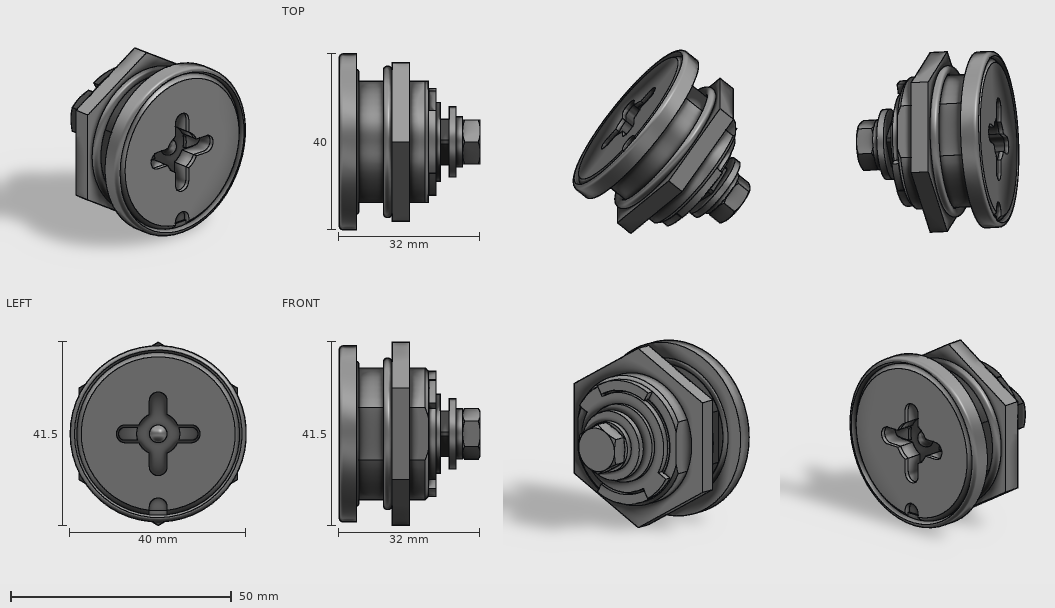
import cadquery as cq
import math


nut_corner_diameter = 41.55
nut_start = 12.0
nut_thickness = 4.0

flange_radius = 20.0
flange_thickness = 4.0
flange_fillet = 1.0
rim_inner_radius = flange_radius - flange_fillet
barrel_radius = 15.0
barrel_end = 20.25
barrel_chamfer = 0.75
flat_half_distance = 13.75
stop_outer_radius = barrel_radius - barrel_chamfer
bore_radius = 12.0
stop_half_angle = 30.0
stop_end = 22.0

flange_ring_section = 0.75
flange_ring_radius = barrel_radius + flange_ring_section
flange_ring_x = 3.75
panel_ring_section = 1.0
panel_ring_radius = 16.2
panel_ring_x = nut_start - panel_ring_section

front_wall = 1.0
groove_radius = 18.45
groove_bevel = 1.0

key_floor = 4.85
key_circle_radius = 4.82
key_arm_reach = 9.48
key_arm_half_width = 2.05
lug_circle_radius = 4.9
lug_half_width = 1.45
lug_reach = 9.0
lug_height = 0.87
pin_radius = 2.0

mark_half_width = 2.05
mark_top = -14.55
mark_pocket_end = -17.4
mark_pocket_depth = 1.4

cam_start = 20.4
cam_radius = 11.5
lobe_radius = 14.0
lobe_half_angle = 15.0
lobe_middle_angle = 90.0 + stop_half_angle + lobe_half_angle
collar_radius = 8.98
collar_end = 23.0
square_width = 8.0
square_corner_radius = 5.2
square_end = 25.0

washer_radius = 8.0
washer_end = 26.52
spring_radius = 5.75
spring_end = 28.0
head_across_flats = 10.0
head_end = 32.0
head_chamfer_angle = 30.0
bolt_radius = 3.0
bolt_tip = 16.0


def cylinder(radius, start, end):
    """Cylinder along the lock axis from x = start to x = end."""
    return cq.Workplane("YZ", origin=(start, 0, 0)).circle(radius).extrude(end - start)


def ring(outer_radius, inner_radius, start, end):
    return cylinder(outer_radius, start, end).cut(cylinder(inner_radius, start, end))


def hexagon(across_flats, start, end):
    """Hexagonal prism along the lock axis with two corners on the Z axis."""
    corner_diameter = across_flats / math.cos(math.pi / 6)
    plane = cq.Workplane("YZ", origin=(start, 0, 0))
    return plane.transformed(rotate=(0, 0, 90)).polygon(6, corner_diameter).extrude(end - start)


def torus(ring_radius, section_radius, x):
    profile = cq.Workplane("XY").center(x, ring_radius).circle(section_radius)
    return profile.revolve(360, (-x, -ring_radius), (0.4 - x, -ring_radius))


def turned(points):
    """Solid of revolution about the lock axis from (x, radius) points."""
    return cq.Workplane("XY").polyline(points).close().revolve(360, (0, 0, 0), (1, 0, 0))


def sector(inner_radius, outer_radius, start_angle, end_angle, start, end):
    """Piece of a ring between two angles, measured from +Y towards +Z."""
    middle_angle = (start_angle + end_angle) / 2

    def at(radius, angle):
        turn = math.radians(angle)
        return (radius * math.cos(turn), radius * math.sin(turn))

    outline = (
        cq.Workplane("YZ", origin=(start, 0, 0))
        .moveTo(*at(inner_radius, start_angle))
        .lineTo(*at(outer_radius, start_angle))
        .threePointArc(at(outer_radius, middle_angle), at(outer_radius, end_angle))
        .lineTo(*at(inner_radius, end_angle))
        .threePointArc(at(inner_radius, middle_angle), at(inner_radius, start_angle))
        .close()
    )
    return outline.extrude(end - start)


def make_housing():
    flange = cylinder(flange_radius, 0, flange_thickness)
    edge_square = ring(flange_radius, rim_inner_radius, 0, flange_fillet)
    edge_round = torus(rim_inner_radius, flange_fillet, flange_fillet)
    flange = flange.cut(edge_square.cut(edge_round))

    barrel = cylinder(barrel_radius, flange_thickness, barrel_end)
    barrel = barrel.faces(">X").chamfer(barrel_chamfer)
    flats = cq.Workplane("XY").box(
        2 * barrel_end, 2 * flat_half_distance, 2 * barrel_radius
    )
    housing = flange.union(barrel.intersect(flats))
    for middle_angle in (90, 270):
        housing = housing.union(
            sector(
                bore_radius,
                stop_outer_radius,
                middle_angle - stop_half_angle,
                middle_angle + stop_half_angle,
                barrel_end,
                stop_end,
            )
        )

    bore = cylinder(bore_radius, front_wall, barrel_end)
    ring_seat = torus(flange_ring_radius, flange_ring_section, flange_ring_x)
    housing = housing.cut(bore).cut(ring_seat).cut(rim_groove())
    return housing.cut(key_hole(0, front_wall)).cut(position_mark())


def rim_groove():
    """V-shaped ring groove between the rim and the front wall."""
    return turned(
        [(0, groove_radius - groove_bevel), (0, rim_inner_radius), (front_wall, groove_radius)]
    )


def key_hole(start, end):
    """Round hole with four round-ended arms."""
    hole = cylinder(key_circle_radius, start, end)
    for angle in (0, 90):
        arms = cq.Workplane("YZ", origin=(start, 0, 0))
        arms = arms.slot2D(2 * key_arm_reach, 2 * key_arm_half_width, angle)
        hole = hole.union(arms.extrude(end - start))
    return hole


def key_lugs():
    """Two raised lugs on the floor of the horizontal arms."""
    lugs = cq.Workplane("YZ", origin=(key_floor - lug_height, 0, 0))
    lugs = lugs.slot2D(2 * lug_reach, 2 * lug_half_width).extrude(lug_height)
    return lugs.cut(cylinder(lug_circle_radius, key_floor - lug_height, key_floor))


def key_pin():
    """Domed pin in the middle of the key hole floor."""
    return cq.Workplane("XY").sphere(pin_radius).translate((key_floor, 0, 0))


def position_mark():
    """Round-topped notch that runs out into the rim groove, with a deeper inner pocket."""
    arc_center = mark_top - mark_half_width

    def outline(bottom, depth):
        return (
            cq.Workplane("YZ")
            .moveTo(-mark_half_width, bottom)
            .lineTo(-mark_half_width, arc_center)
            .threePointArc((0, mark_top), (mark_half_width, arc_center))
            .lineTo(mark_half_width, bottom)
            .close()
            .extrude(depth)
        )

    notch = outline(-rim_inner_radius, front_wall).intersect(cylinder(groove_radius, 0, front_wall))
    return notch.union(outline(mark_pocket_end, mark_pocket_depth))


def make_rotor():
    rotor = cylinder(bore_radius, front_wall, cam_start)
    rotor = rotor.union(cylinder(cam_radius, cam_start, stop_end))
    for middle_angle in (lobe_middle_angle, lobe_middle_angle + 180):
        rotor = rotor.union(
            sector(
                collar_radius,
                lobe_radius,
                middle_angle - lobe_half_angle,
                middle_angle + lobe_half_angle,
                cam_start,
                stop_end,
            )
        )
    rotor = rotor.union(cylinder(collar_radius, stop_end, collar_end))

    square = cq.Workplane("YZ", origin=(collar_end, 0, 0)).transformed(rotate=(0, 0, 45))
    square = square.rect(square_width, square_width).extrude(square_end - collar_end)
    rotor = rotor.union(square.intersect(cylinder(square_corner_radius, collar_end, square_end)))

    rotor = rotor.cut(key_hole(front_wall, key_floor)).union(key_lugs()).union(key_pin())
    return rotor.cut(cylinder(bolt_radius, bolt_tip, square_end))


def make_nut():
    across_flats = nut_corner_diameter * math.cos(math.pi / 6)
    nut = hexagon(across_flats, nut_start, nut_start + nut_thickness)
    return nut.cut(cylinder(barrel_radius, nut_start, nut_start + nut_thickness))


def make_bolt():
    head = hexagon(head_across_flats, spring_end, head_end)
    end_radius = head_across_flats / 2
    corner_radius = end_radius / math.cos(math.pi / 6)
    chamfer_depth = (corner_radius - end_radius) * math.tan(math.radians(head_chamfer_angle))
    envelope = turned(
        [
            (spring_end, 0),
            (spring_end, end_radius),
            (spring_end + chamfer_depth, corner_radius),
            (head_end - chamfer_depth, corner_radius),
            (head_end, end_radius),
            (head_end, 0),
        ]
    )
    return head.intersect(envelope).union(cylinder(bolt_radius, bolt_tip, spring_end))


housing = make_housing()
flange_ring = torus(flange_ring_radius, flange_ring_section, flange_ring_x)
panel_ring = torus(panel_ring_radius, panel_ring_section, panel_ring_x)
nut = make_nut()
rotor = make_rotor()
washer = ring(washer_radius, bolt_radius, square_end, washer_end)
spring_washer = ring(spring_radius, bolt_radius, washer_end, spring_end)
bolt = make_bolt()

result = cq.Compound.makeCompound(
    [
        housing.val(),
        flange_ring.val(),
        panel_ring.val(),
        nut.val(),
        rotor.val(),
        washer.val(),
        spring_washer.val(),
        bolt.val(),
    ]
)